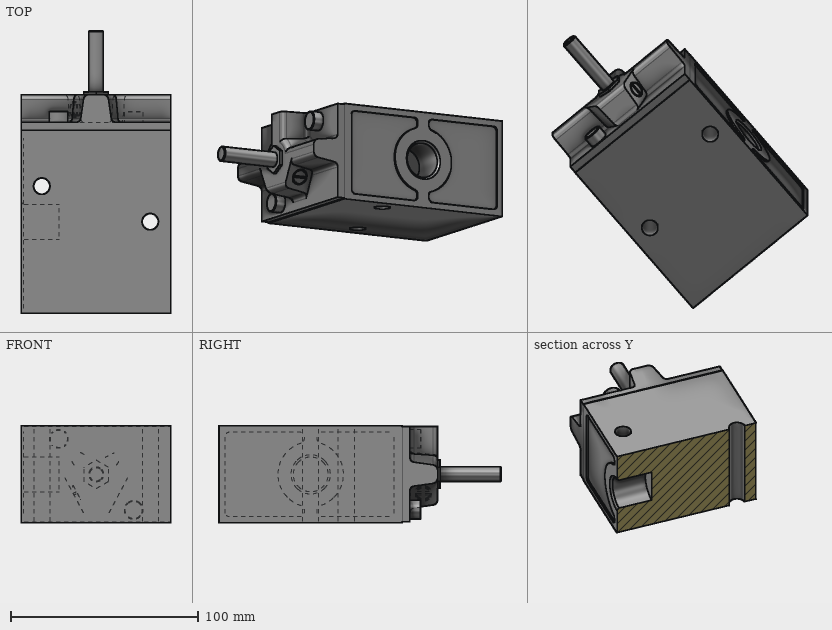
import cadquery as cq
import math

SELECT_MARGIN = 0.1

BODY_WIDTH = 80.0
BODY_LENGTH = 98.0
BODY_HEIGHT = 52.0
OVERALL_LENGTH = 151.0
BODY_END = BODY_LENGTH / 2
PIN_TIP = OVERALL_LENGTH - BODY_END
SIDE_X = -BODY_WIDTH / 2

MOUNTING_HOLE_DIAMETER = 8.6
MOUNTING_HOLES = [(-29.0, 19.0), (29.0, 0.0)]

PORT_DIAMETER = 18.63
PORT_MOUTH_DIAMETER = 21.0
PORT_DEPTH = 20.0
PORT_MOUTH_ANGLE = 45.0

POCKET_DEPTH = 1.0
POCKET_HEIGHT = 45.2
POCKET_FRONT_END = -45.9
POCKET_REAR_END = 44.6
POCKET_GAP = 6.8
POCKET_CORNER_RADIUS = 2.5
PORT_LAND_DIAMETER = 35.0

COVER_THICKNESS = 4.2
COVER_HEIGHT = 51.0
RIB_HEIGHT = 14.8
RIB_DRAFT = 8.0
CROSS_RIB_HALF_WIDTH = 6.7
UPPER_RIB_HALF_WIDTH = 8.4
RIB_TOP_RADIUS = 3.0
RIB_FOOT_RADIUS = 2.5
HUB_FOOT_RADIUS = 14.1
HUB_X = -0.5
RIB_LEAN = RIB_HEIGHT * math.tan(math.radians(RIB_DRAFT))
COVER_FACE = BODY_END + COVER_THICKNESS
RIB_TOP = COVER_FACE + RIB_HEIGHT

BOSS_REACH = 18.3
BOSS_END_HALF_WIDTH = 8.0
BOSS_SIDE_ANGLE = 28.0
BOSS_SIDE_SLOPE = math.tan(math.radians(BOSS_SIDE_ANGLE))

EARTH_SCREW_DIAMETER = 7.48
EARTH_RECESS_DIAMETER = 8.57
EARTH_RECESS_DEPTH = 2.0
EARTH_SLOT_WIDTH = 1.0
EARTH_SLOT_DEPTH = 2.0
EARTH_SCREW_Y = 60.2
EARTH_SCREW_Z = -10.6

CAP_SCREW_DIAMETER = 10.0
CAP_SCREW_HEIGHT = 5.9
CAP_SCREW_CHAMFER = 0.4
CAP_SCREWS = [(-20.0, 19.0), (20.0, -19.0)]

PIN_DIAMETER = 8.0
PIN_CHAMFER = 0.5
NUT_ACROSS_FLATS = 13.2
NUT_THICKNESS = 1.4
NUT_SIDES = 6


def side_plane():
    """Workplane on the -X side, with local x along Y and the normal pointing into the body."""
    return cq.Workplane("YZ", origin=(SIDE_X, 0, 0))


def y_cylinder(x, z, diameter, start, end, chamfer):
    """Cylinder along Y with a chamfered +Y end."""
    base = cq.Workplane("XZ", origin=(x, start, z))
    return base.circle(diameter / 2).extrude(start - end).faces(">Y").chamfer(chamfer)


def body():
    """Drilled block with the port and its two side pockets."""
    block = cq.Workplane("XY").box(BODY_WIDTH, BODY_LENGTH, BODY_HEIGHT)
    holes = (
        cq.Workplane("XY", origin=(0, 0, -BODY_HEIGHT / 2))
        .pushPoints(MOUNTING_HOLES)
        .circle(MOUNTING_HOLE_DIAMETER / 2)
        .extrude(BODY_HEIGHT)
    )
    front_pocket = side_pocket(POCKET_FRONT_END, -POCKET_GAP / 2)
    rear_pocket = side_pocket(POCKET_GAP / 2, POCKET_REAR_END)
    return block.cut(holes).cut(port()).cut(front_pocket).cut(rear_pocket)


def port():
    """Bore into the -X side with a countersunk mouth."""
    side = side_plane()
    bore = side.circle(PORT_DIAMETER / 2).extrude(PORT_DEPTH)
    mouth_step = (PORT_MOUTH_DIAMETER - PORT_DIAMETER) / 2
    mouth_depth = mouth_step / math.tan(math.radians(PORT_MOUTH_ANGLE))
    mouth = side.circle(PORT_MOUTH_DIAMETER / 2).extrude(mouth_depth, taper=PORT_MOUTH_ANGLE)
    return bore.union(mouth)


def side_pocket(start, end):
    """Rounded pocket in the -X side between two Y positions, clear of the round port land."""
    side = side_plane()
    slab = side.center((start + end) / 2, 0).rect(end - start, POCKET_HEIGHT).extrude(POCKET_DEPTH)
    land = side.circle(PORT_LAND_DIAMETER / 2).extrude(POCKET_DEPTH)
    return slab.cut(land).edges("|X").fillet(POCKET_CORNER_RADIUS)


def rib(plane, foot_half_width, length):
    """Sharp-edged rib, tapered from its foot on the cover to its top."""
    top_half_width = foot_half_width - RIB_LEAN
    outline = [
        (-foot_half_width, COVER_FACE),
        (-top_half_width, RIB_TOP),
        (top_half_width, RIB_TOP),
        (foot_half_width, COVER_FACE),
    ]
    return plane.polyline(outline).close().extrude(length)


def hub():
    """Round hub where the ribs meet, drafted like the ribs."""
    base = cq.Workplane("XZ", origin=(HUB_X, COVER_FACE, 0))
    return base.circle(HUB_FOOT_RADIUS).extrude(-RIB_HEIGHT, taper=RIB_DRAFT)


def flank_edges(solid, height):
    """Edges lying at the given Y, without those that close the rib ends at the cover's border."""
    side_limit = BODY_WIDTH / 2 - SELECT_MARGIN
    height_limit = COVER_HEIGHT / 2 - SELECT_MARGIN
    edges = []
    for edge in solid.edges().vals():
        box = edge.BoundingBox()
        centre = edge.Center()
        is_level = max(abs(box.ymin - height), abs(box.ymax - height)) < SELECT_MARGIN
        is_inside = abs(centre.x) < side_limit and abs(centre.z) < height_limit
        if is_level and is_inside:
            edges.append(edge)
    return solid.newObject(edges)


def cover():
    """Cover plate with a full-width cross rib, a rib from it up to the top edge and a hub."""
    plate = (
        cq.Workplane("XZ", origin=(0, BODY_END, 0))
        .rect(BODY_WIDTH, COVER_HEIGHT)
        .extrude(-COVER_THICKNESS)
    )
    cross_plane = cq.Plane(origin=(SIDE_X, 0, 0), xDir=(0, 0, 1), normal=(-1, 0, 0))
    cross_rib = rib(cq.Workplane(cross_plane), CROSS_RIB_HALF_WIDTH, -BODY_WIDTH)
    upper_rib = rib(cq.Workplane("XY"), UPPER_RIB_HALF_WIDTH, COVER_HEIGHT / 2)
    ribs = cross_rib.union(upper_rib).union(hub())
    ribs = flank_edges(ribs, RIB_TOP).fillet(RIB_TOP_RADIUS)
    ribbed_plate = plate.union(ribs)
    return flank_edges(ribbed_plate, COVER_FACE).fillet(RIB_FOOT_RADIUS)


def boss():
    """Boss below the cross rib: a rounded section along X, cut to upright slanted sides."""
    boss_bottom = -BOSS_REACH - 2 * RIB_FOOT_RADIUS
    half_width = BOSS_END_HALF_WIDTH + BOSS_REACH * BOSS_SIDE_SLOPE
    bottom_half_width = half_width + boss_bottom * BOSS_SIDE_SLOPE
    section = [
        (BODY_END, 0),
        (RIB_TOP, 0),
        (RIB_TOP, RIB_LEAN - BOSS_REACH),
        (COVER_FACE, -BOSS_REACH),
        (COVER_FACE, boss_bottom),
        (BODY_END, boss_bottom),
    ]
    profile = cq.Workplane("YZ").polyline(section).close().extrude(half_width, both=True)
    top_edge = cq.selectors.NearestToPointSelector((0, RIB_TOP, RIB_LEAN - BOSS_REACH))
    foot_edge = cq.selectors.NearestToPointSelector((0, COVER_FACE, -BOSS_REACH))
    profile = profile.edges(top_edge).fillet(RIB_TOP_RADIUS)
    profile = profile.edges(foot_edge).fillet(RIB_FOOT_RADIUS)
    sides = (
        cq.Workplane("XZ", origin=(0, BODY_END, 0))
        .polyline([
            (-half_width, 0),
            (half_width, 0),
            (bottom_half_width, boss_bottom),
            (-bottom_half_width, boss_bottom),
        ])
        .close()
        .extrude(-(RIB_TOP - BODY_END))
    )
    return profile.intersect(sides)


def earth_screw_cut():
    """Gap around the earth screw and its driver slot, square to the boss's -X side."""
    face_x = -BOSS_END_HALF_WIDTH - (BOSS_REACH + EARTH_SCREW_Z) * BOSS_SIDE_SLOPE
    inward = (1, 0, BOSS_SIDE_SLOPE)
    face = cq.Workplane(
        cq.Plane(origin=(face_x, EARTH_SCREW_Y, EARTH_SCREW_Z), xDir=(0, 1, 0), normal=inward)
    )
    gap = (
        face.circle(EARTH_RECESS_DIAMETER / 2)
        .circle(EARTH_SCREW_DIAMETER / 2)
        .extrude(EARTH_RECESS_DEPTH)
    )
    slot = face.rect(EARTH_SCREW_DIAMETER, EARTH_SLOT_WIDTH).extrude(EARTH_SLOT_DEPTH)
    return gap.union(slot)


def pin_and_nut():
    """Pin along Y standing in a hexagonal nut whose corners point along Z."""
    across_corners = NUT_ACROSS_FLATS / math.cos(math.pi / NUT_SIDES)
    nut_plane = cq.Plane(origin=(0, RIB_TOP, 0), xDir=(0, 0, 1), normal=(0, 1, 0))
    nut = cq.Workplane(nut_plane).polygon(NUT_SIDES, across_corners).extrude(NUT_THICKNESS)
    return nut.union(y_cylinder(0, 0, PIN_DIAMETER, RIB_TOP, PIN_TIP, PIN_CHAMFER))


def cap_screws():
    """Plain round heads standing on the cover."""
    head_top = COVER_FACE + CAP_SCREW_HEIGHT
    heads = cq.Workplane("XY")
    for x, z in CAP_SCREWS:
        heads = heads.add(y_cylinder(x, z, CAP_SCREW_DIAMETER, COVER_FACE, head_top, CAP_SCREW_CHAMFER))
    return heads.combine()


fitted_cover = cover().union(boss()).cut(earth_screw_cut())
fitted_cover = fitted_cover.union(pin_and_nut()).union(cap_screws())
result = body().union(fitted_cover, clean=False)